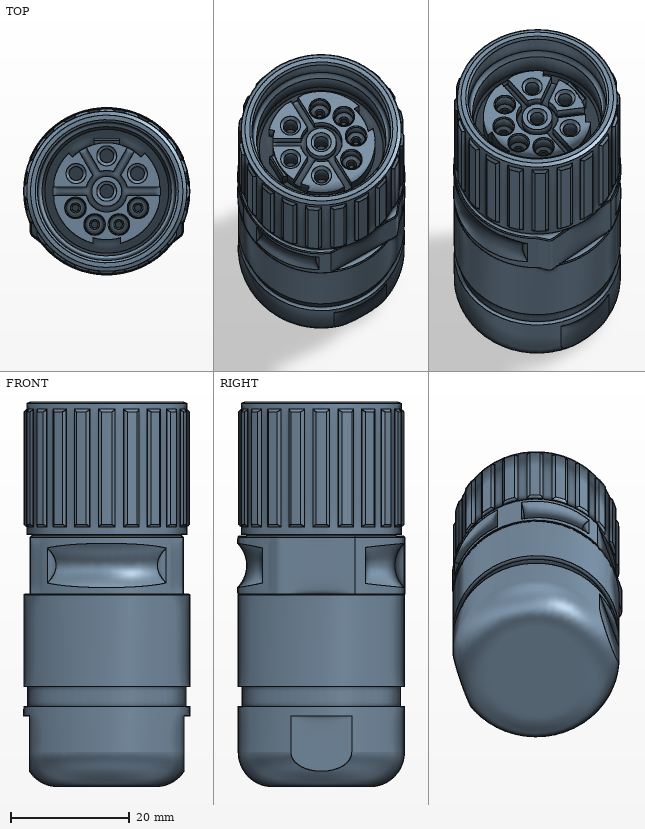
import cadquery as cq
import math

OVERLAP = 0.65

TOP = 65.05
NUT_BOTTOM = 42.7
COLLAR_TOP = 42.35
BODY_TOP = 32.6
NECK_TOP = 16.9
CAP_TOP = 13.5
CAP_FLAT_TOP = 12.0

NUT_RADIUS = 13.5
RIB_RADIUS = 14.0
GROOVE_RADIUS = 12.6
COLLAR_DIAMETER = 28.3
COLLAR_RADIUS = COLLAR_DIAMETER / 2
BODY_RADIUS = 14.05
NECK_RADIUS = 13.4
CAP_RADIUS = 14.05
CAP_ROUNDING = 5.85
NUT_RIM_WIDTH = 0.65
NUT_RIM_DROP = 0.25
BODY_BEVEL = 0.2

RIB_COUNT = 20
RIB_BOTTOM = 43.9
RIB_TOP = 63.8
RIB_ROOT_HALF_WIDTH = 1.35
RIB_CREST_HALF_WIDTH = 0.85
RIB_HEIGHT = RIB_RADIUS - NUT_RADIUS

COLLAR_FLAT_X = 12.95
LUG_CORNER_Y = -7.3
LUG_END_Y = -8.7
LUG_CORNER_ROUNDING = 1.1
COLLAR_BEVEL = 0.2
RECESS_Z = 37.4
RECESS_SECTION_RADIUS = 5.35
RECESS_DEEPEST = 12.6
FRONT_RECESS_OFFSET = 2.5
FRONT_RECESS_END_Y = 9.95
BACK_RECESS_OFFSET = 1.3
BACK_RECESS_END_Y = 7.5
BACK_WEB_HALF_WIDTH = 2.15

CAP_FLAT_X = 13.1

MOUTH_RADIUS = 12.1
UPPER_BORE_RADIUS = 11.7
LEDGE_TOP = 60.95
LEDGE_BOTTOM = 60.2
LOWER_BORE_RADIUS = 10.9
FLOOR_RADIUS = 10.5
BORE_FLOOR = 55.3

INSERT_TOP = 58.7
INSERT_RADIUS = 9.1
INSERT_FLAT_X = 8.9
INSERT_FLAT_HALF_LENGTH = 2.0
NOTCH_RADIUS = 8.2
TOP_NOTCH_ANGLE = 90.0
BOTTOM_NOTCH_HALF_WIDTH = 2.35
CHANNEL_FLOOR = 56.7
CHANNEL_WIDTH = 1.35
CHANNEL_ANGLES = (0, 60, 120, 180)
WELL_RADIUS = 3.5
BOSS_RADIUS = 2.55
KEY_WIDTH = 4.3
KEY_INNER_Y = 7.8
KEY_RIDGE_Y = 8.6
KEY_OUTER_Y = 8.85
KEY_INNER_DROP = 0.8

CONTACT_CIRCLE = 6.0
POWER_ANGLES = (30, 90, 150)
SIGNAL_ANGLES = (-28, -70, -110, -152)
POWER_HOLE_RADIUS = 1.2
POWER_MOUTH_RADIUS = 1.7
POWER_DEPTH = 5.2
SIGNAL_HOLE_RADIUS = 1.6
SIGNAL_MOUTH_RADIUS = 1.8
SIGNAL_DEPTH = 2.6
SOCKET_RADIUS = 0.6
SOCKET_MOUTH_RADIUS = 0.85
SOCKET_DEPTH = 1.95


def cylinder(radius, bottom, top):
    return cq.Workplane("XY").workplane(offset=bottom).circle(radius).extrude(top - bottom)


def block(x_range, y_range, z_range):
    size = [high - low for low, high in (x_range, y_range, z_range)]
    corner = (x_range[0], y_range[0], z_range[0])
    return cq.Workplane("XY").box(*size, centered=False).translate(corner)


def polar(radius, angle):
    return (
        radius * math.cos(math.radians(angle)),
        radius * math.sin(math.radians(angle)),
    )


def mirrored_pair(solid):
    return solid.union(solid.mirror("YZ"))


def shell_core():
    """Turned outline of cap, neck, body, groove and nut, without the bore."""
    arc_center_r = CAP_RADIUS - CAP_ROUNDING
    arc_middle = (
        arc_center_r + CAP_ROUNDING * math.sqrt(0.5),
        CAP_ROUNDING * (1 - math.sqrt(0.5)),
    )
    return (
        cq.Workplane("XZ")
        .moveTo(0, 0)
        .lineTo(arc_center_r, 0)
        .threePointArc(arc_middle, (CAP_RADIUS, CAP_ROUNDING))
        .lineTo(CAP_RADIUS, CAP_TOP)
        .lineTo(NECK_RADIUS, CAP_TOP)
        .lineTo(NECK_RADIUS, NECK_TOP)
        .lineTo(BODY_RADIUS, NECK_TOP)
        .lineTo(BODY_RADIUS, BODY_TOP - BODY_BEVEL)
        .lineTo(BODY_RADIUS - BODY_BEVEL, BODY_TOP)
        .lineTo(GROOVE_RADIUS, BODY_TOP)
        .lineTo(GROOVE_RADIUS, NUT_BOTTOM)
        .lineTo(NUT_RADIUS, NUT_BOTTOM)
        .lineTo(NUT_RADIUS, TOP - NUT_RIM_DROP)
        .lineTo(NUT_RADIUS - NUT_RIM_WIDTH, TOP)
        .lineTo(0, TOP)
        .close()
        .revolve(360, (0, 0, 0), (0, 1, 0))
    )


def grip_ribs():
    """Trapezoidal ribs whose ends slope at 45 degrees into the nut."""
    root = NUT_RADIUS - OVERLAP
    side_slope = (RIB_ROOT_HALF_WIDTH - RIB_CREST_HALF_WIDTH) / RIB_HEIGHT
    crest = RIB_RADIUS + RIB_HEIGHT
    crest_half_width = RIB_CREST_HALF_WIDTH - side_slope * RIB_HEIGHT
    section = [
        (root, -RIB_ROOT_HALF_WIDTH),
        (NUT_RADIUS, -RIB_ROOT_HALF_WIDTH),
        (crest, -crest_half_width),
        (crest, crest_half_width),
        (NUT_RADIUS, RIB_ROOT_HALF_WIDTH),
        (root, RIB_ROOT_HALF_WIDTH),
    ]
    rib = cq.Workplane("XY").workplane(offset=RIB_BOTTOM).polyline(section).close()
    rib = rib.extrude(RIB_TOP - RIB_BOTTOM)
    envelope = (
        cylinder(RIB_RADIUS, RIB_BOTTOM, RIB_TOP)
        .edges("%CIRCLE")
        .chamfer(RIB_HEIGHT)
    )
    rib = rib.intersect(envelope)
    ribs = rib
    for index in range(1, RIB_COUNT):
        ribs = ribs.union(rib.rotate((0, 0, 0), (0, 0, 1), index * 360 / RIB_COUNT))
    return ribs


def finger_recess(center_y):
    """Ring-shaped cutter with a circular section, centered on the given Y."""
    ring_radius = RECESS_DEEPEST + abs(center_y) + RECESS_SECTION_RADIUS
    ring = cq.Solid.makeTorus(ring_radius, RECESS_SECTION_RADIUS)
    return cq.Workplane(obj=ring).translate((0, center_y, RECESS_Z))


def collar():
    height = (BODY_TOP, COLLAR_TOP)
    ring = cylinder(COLLAR_RADIUS, *height)
    ring = ring.intersect(
        block((-COLLAR_FLAT_X, COLLAR_FLAT_X), (-COLLAR_RADIUS, COLLAR_RADIUS), height)
    )
    lug_end_x = math.sqrt(COLLAR_RADIUS**2 - LUG_END_Y**2)
    lug_corner = (COLLAR_FLAT_X, LUG_CORNER_Y)
    lug = (
        cq.Workplane("XY")
        .workplane(offset=BODY_TOP)
        .polyline([(0, 0), (COLLAR_FLAT_X, 0), lug_corner, (lug_end_x, LUG_END_Y)])
        .close()
        .extrude(COLLAR_TOP - BODY_TOP)
        .edges(cq.selectors.NearestToPointSelector((*lug_corner, (BODY_TOP + COLLAR_TOP) / 2)))
        .fillet(LUG_CORNER_ROUNDING)
    )
    ring = ring.union(mirrored_pair(lug)).faces(">Z").edges().chamfer(COLLAR_BEVEL)

    reach = COLLAR_RADIUS + OVERLAP
    front_zone = block((-reach, reach), (-reach, -FRONT_RECESS_END_Y), height)
    back_zone = block((BACK_WEB_HALF_WIDTH, reach), (BACK_RECESS_END_Y, reach), height)
    front = finger_recess(FRONT_RECESS_OFFSET).intersect(front_zone)
    back = finger_recess(-BACK_RECESS_OFFSET).intersect(back_zone)
    return ring.cut(front).cut(mirrored_pair(back))


def cap_flats():
    flat = block((CAP_FLAT_X, CAP_RADIUS + OVERLAP), (-CAP_RADIUS, CAP_RADIUS), (0, CAP_FLAT_TOP))
    return mirrored_pair(flat)


def mating_bore():
    mouth_bevel = MOUTH_RADIUS - UPPER_BORE_RADIUS
    floor_bevel = LOWER_BORE_RADIUS - FLOOR_RADIUS
    profile = [
        (0, BORE_FLOOR),
        (FLOOR_RADIUS, BORE_FLOOR),
        (LOWER_BORE_RADIUS, BORE_FLOOR + floor_bevel),
        (LOWER_BORE_RADIUS, LEDGE_BOTTOM),
        (UPPER_BORE_RADIUS, LEDGE_TOP),
        (UPPER_BORE_RADIUS, TOP - mouth_bevel),
        (MOUTH_RADIUS, TOP),
        (0, TOP),
    ]
    return cq.Workplane("XZ").polyline(profile).close().revolve(360, (0, 0, 0), (0, 1, 0))


def stepped_hole(mouth_radius, radius, top, depth):
    """Round blind hole with a 45 degree countersunk mouth."""
    bevel = mouth_radius - radius
    profile = [
        (0, top),
        (mouth_radius, top),
        (radius, top - bevel),
        (radius, top - depth),
        (0, top - depth),
    ]
    return cq.Workplane("XZ").polyline(profile).close().revolve(360, (0, 0, 0), (0, 1, 0))


def insert_blank():
    """Contact carrier with flats at both sides and notches at its +Y and -Y edges."""
    height = (BORE_FLOOR, INSERT_TOP)
    blank = cylinder(INSERT_RADIUS, *height)
    flat = block(
        (INSERT_FLAT_X, INSERT_RADIUS),
        (-INSERT_FLAT_HALF_LENGTH, INSERT_FLAT_HALF_LENGTH),
        height,
    )
    blank = blank.cut(mirrored_pair(flat))

    reach = 2 * INSERT_RADIUS
    wedge_start = polar(reach, 90 - TOP_NOTCH_ANGLE / 2)
    wedge_end = polar(reach, 90 + TOP_NOTCH_ANGLE / 2)
    wedge = (
        cq.Workplane("XY")
        .workplane(offset=BORE_FLOOR)
        .polyline([(0, 0), wedge_start, wedge_end])
        .close()
        .extrude(INSERT_TOP - BORE_FLOOR)
    )
    strip = block((-BOTTOM_NOTCH_HALF_WIDTH, BOTTOM_NOTCH_HALF_WIDTH), (-reach, 0), height)
    notches = wedge.union(strip).cut(cylinder(NOTCH_RADIUS, *height))
    return blank.cut(notches)


def coding_key():
    """Ridge standing at the +Y edge of the insert."""
    outer_drop = KEY_OUTER_Y - KEY_RIDGE_Y
    profile = [
        (KEY_INNER_Y, BORE_FLOOR),
        (KEY_INNER_Y, INSERT_TOP - KEY_INNER_DROP),
        (KEY_RIDGE_Y, INSERT_TOP),
        (KEY_OUTER_Y, INSERT_TOP - outer_drop),
        (KEY_OUTER_Y, BORE_FLOOR),
    ]
    return cq.Workplane("YZ").polyline(profile).close().extrude(KEY_WIDTH / 2, both=True)


def contact_insert():
    insert = insert_blank()
    well = cylinder(WELL_RADIUS, CHANNEL_FLOOR, INSERT_TOP)
    half_width = CHANNEL_WIDTH / 2
    channel = block((0, INSERT_RADIUS), (-half_width, half_width), (CHANNEL_FLOOR, INSERT_TOP))
    for angle in CHANNEL_ANGLES:
        well = well.union(channel.rotate((0, 0, 0), (0, 0, 1), angle))
    insert = insert.cut(well)
    side_bar = block(
        (-INSERT_RADIUS, INSERT_RADIUS), (-half_width, half_width), (BORE_FLOOR, CHANNEL_FLOOR)
    )
    boss = cylinder(BOSS_RADIUS, BORE_FLOOR, INSERT_TOP)
    return insert.union(side_bar).union(boss).union(coding_key())


def contact_holes():
    power = stepped_hole(POWER_MOUTH_RADIUS, POWER_HOLE_RADIUS, INSERT_TOP, POWER_DEPTH)
    signal = stepped_hole(SIGNAL_MOUTH_RADIUS, SIGNAL_HOLE_RADIUS, INSERT_TOP, SIGNAL_DEPTH)
    socket_top = INSERT_TOP - SIGNAL_DEPTH
    signal = signal.union(stepped_hole(SOCKET_MOUTH_RADIUS, SOCKET_RADIUS, socket_top, SOCKET_DEPTH))

    holes = power
    for hole, angles in ((power, POWER_ANGLES), (signal, SIGNAL_ANGLES)):
        for angle in angles:
            holes = holes.union(hole.translate((*polar(CONTACT_CIRCLE, angle), 0)))
    return holes


result = shell_core().union(grip_ribs()).union(collar())
result = result.cut(cap_flats()).cut(mating_bore())
result = result.union(contact_insert()).cut(contact_holes())